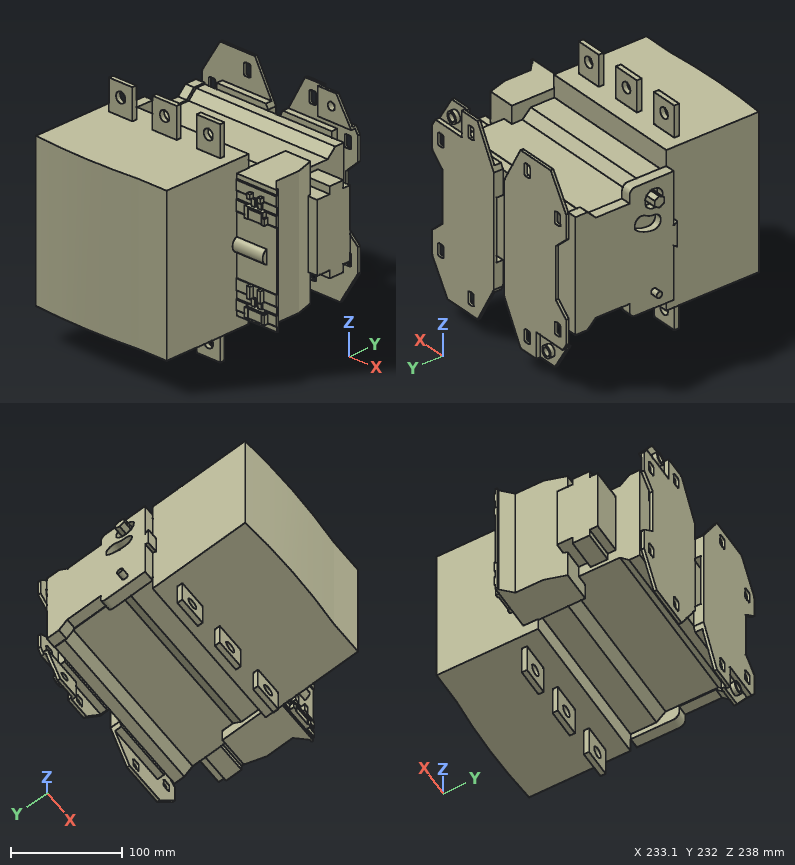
import cadquery as cq
import math


HOUSING_HALF_X = 82.0
HOUSING_HALF_Z = 85.0
HOUSING_BACK_Y = -123.0
HOUSING_EDGE_Y = -229.0
HOUSING_CROWN_Y = -232.0
CROWN_END_X = 47.0

POLE_PITCH = 55.0
TERMINAL_HALF_Z = 119.0
TERMINAL_FRONT_Y = -147.2
TERMINAL_THICKNESS = 5.5
OUTER_TERMINAL_WIDTH = 29.5
MIDDLE_TERMINAL_WIDTH = 30.5
TERMINAL_HOLE_Z = 103.8
TERMINAL_HOLE_DIAMETER = 11.5

BODY_RIGHT_X = 92.3
BODY_BACK_Y = -10.5
SLAB_HALF_Z = 62.5
SLAB_WAIST_HALF_Z = 53.1
CORE_INSET = 1.5
CORE_HALF_Z = SLAB_HALF_Z - CORE_INSET
CORE_WAIST_HALF_Z = SLAB_WAIST_HALF_Z - CORE_INSET
CORE_BEVEL_START_Y = -21.8
SLAB_BEVEL_START_Y = -24.3
BEVEL_LENGTH = 9.6
SHOULDER_START_Y = -86.4
OVERLAP = 1.0

SIDE_LEFT_X = -93.1
SIDE_BACK_Y = -72.4
SIDE_HALF_Z = 68.2
SIDE_CORNER_RADIUS = 6.5
TAB_FRONT_Y = -127.0
TAB_ROOT_HALF_Z = 10.7
TAB_TIP_HALF_Z = 13.6
RECESS_DEPTH = 8.0
PIVOT_Y = -100.2
PIVOT_Z = 48.1
PIVOT_RECESS_DIAMETER = 20.4
HEX_CORNER_DIAMETER = 12.3
STUD_LEFT_X = -101.0
PIN_Z = -50.3
PIN_DIAMETER = 6.5
SLOT_MEAN_RADIUS = 25.4
SLOT_WIDTH = 15.8
SLOT_SWEEP_DEG = 33.5

AUX_HALF_Z = 71.0
AUX_BACK_Y = -74.3
AUX_BACK_X = 112.2
AUX_SIDE_X = 118.6
AUX_SIDE_BACK_Y = -95.8
AUX_SIDE_FRONT_Y = -125.2
AUX_FLANGE_X = 132.1
AUX_FLANGE_BACK_Y = -136.2
AUX_FACE_Y = -138.3
AUX_FLARE_X = AUX_SIDE_X + AUX_SIDE_FRONT_Y - AUX_FLANGE_BACK_Y
BAND_RISE = 0.9
BAND_OUTER_Z = 65.8
BAND_GAP_OUTER_Z = 53.7
BAND_GAP_INNER_Z = 46.0
BAND_INNER_Z = 33.4
CLAMP_FRONT_Y = -143.7
CLAMP_CENTRE_X = 109.2
CLAMP_WIDTH = 24.7
CLAMP_INSERT_WIDTH = 17.0
CLAMP_MARGIN = 1.9
CLAMP_SHOULDER = 2.0
UPPER_SHOULDER_Z = 40.3
LOWER_SHOULDER_Z = -55.6
INSERT_DROP = 1.0
PAIR_CENTRE_X = CLAMP_CENTRE_X - 1.0
PEG_SPACING = 13.2
PEG_WIDTH = 4.1
SHORT_PEG_HEIGHT = 5.3
STRIP_SPACING = 8.6
STRIP_WIDTH = 4.5
STRIP_FRONT_Y = -140.2
SHAFT_DIAMETER = 16.4
SHAFT_END_X = 119.7
SHAFT_AXIS_Y = -135.7

COIL_END_X = 124.4
COIL_BACK_Y = -35.7
COIL_FRONT_Y = -78.2
COIL_RIDGE_BACK_Y = -44.2
COIL_RIDGE_FRONT_Y = -62.0
COIL_HALF_Z = 38.0
COIL_RIDGE_HALF_Z = 46.0

FOOT_THICKNESS = 3.1
FOOT_HALF_Z = 105.0
FOOT_LEFT_X = 12.5
FOOT_RIGHT_X = 102.6
FOOT_TOP_LEFT_X = 36.2
FOOT_TOP_RIGHT_X = 80.2
FOOT_LEFT_CORNER_Z = 62.0
FOOT_RIGHT_CORNER_Z = 69.0
NOTCH_OUTER_Z = 42.3
NOTCH_INNER_Z = 28.4
NOTCH_DEPTH = 15.0
FEET_CENTRE_X = 4.9
PAD_FRONT_Y = -8.0
PAD_WALL = 2.0
PAD_SHEET = 3.2
PAD_LEFT_X = 57.2
PAD_BOTTOM_Z = 74.7
PAD_HOLE_X = 73.9
PAD_HOLE_Z = 90.3
PAD_HOLE_DIAMETER = 8.6
PAD_BUSH_DIAMETER = 12.7
FOOT_SLOT_WIDTH = 8.3
FOOT_SLOT_HEIGHT = 13.5
FOOT_SLOT_RADIUS = 2.0
UPPER_SLOT_X = 45.9
UPPER_SLOT_Z = 87.9
LOWER_SLOT_X = 90.0
LOWER_SLOT_Z = 58.5
RAIL_RIGHT_X = 77.0
RAIL_OUTER_Z = 67.2
RAIL_INNER_Z = 34.4


def block(x_range, y_range, z_range):
    """Axis-aligned box spanning the three given (from, to) ranges."""
    spans = [sorted(r) for r in (x_range, y_range, z_range)]
    sizes = [high - low for low, high in spans]
    return cq.Workplane("XY").box(*sizes, centered=False).translate(tuple(low for low, high in spans))


def centred(middle, width):
    """(from, to) range of the given width around a middle value."""
    return (middle - width / 2, middle + width / 2)


def x_prism(points_yz, x_from, x_to):
    """Closed YZ outline extruded along X."""
    return cq.Workplane("YZ", origin=(x_from, 0, 0)).polyline(points_yz).close().extrude(x_to - x_from)


def y_cylinder(x, z, diameter, y_from, y_to):
    """Cylinder along Y from y_from forward to y_to."""
    return cq.Workplane("XZ", origin=(x, y_from, z)).circle(diameter / 2).extrude(y_from - y_to)


def x_cylinder(y, z, diameter, x_from, x_to):
    """Cylinder along X."""
    return cq.Workplane("YZ", origin=(x_from, y, z)).circle(diameter / 2).extrude(x_to - x_from)


def mirrored_outline(upper_half):
    """Close an upper YZ half outline with its mirror image about Z = 0."""
    return upper_half + [(y, -z) for y, z in reversed(upper_half)]


def housing():
    crown_middle_x = (CROWN_END_X - HOUSING_HALF_X) / 2
    outline = (
        cq.Workplane("XY", origin=(0, 0, -HOUSING_HALF_Z))
        .moveTo(-HOUSING_HALF_X, HOUSING_BACK_Y)
        .lineTo(-HOUSING_HALF_X, HOUSING_EDGE_Y)
        .threePointArc((crown_middle_x, HOUSING_CROWN_Y), (CROWN_END_X, HOUSING_EDGE_Y))
        .lineTo(HOUSING_HALF_X, HOUSING_EDGE_Y)
        .lineTo(HOUSING_HALF_X, HOUSING_BACK_Y)
        .close()
    )
    return outline.extrude(2 * HOUSING_HALF_Z)


def terminal(x, width):
    back_y = TERMINAL_FRONT_Y + TERMINAL_THICKNESS
    bar = block(centred(x, width), (TERMINAL_FRONT_Y, back_y), (-TERMINAL_HALF_Z, TERMINAL_HALF_Z))
    for z in (-TERMINAL_HOLE_Z, TERMINAL_HOLE_Z):
        bar = bar.cut(y_cylinder(x, z, TERMINAL_HOLE_DIAMETER, back_y, TERMINAL_FRONT_Y))
    return bar


def body():
    core = mirrored_outline([
        (BODY_BACK_Y, CORE_HALF_Z),
        (CORE_BEVEL_START_Y, CORE_HALF_Z),
        (CORE_BEVEL_START_Y - BEVEL_LENGTH, CORE_WAIST_HALF_Z),
        (SHOULDER_START_Y, CORE_WAIST_HALF_Z),
        (SHOULDER_START_Y - BEVEL_LENGTH, CORE_HALF_Z),
        (HOUSING_BACK_Y - OVERLAP, CORE_HALF_Z),
    ])
    slab = mirrored_outline([
        (BODY_BACK_Y, SLAB_HALF_Z),
        (SLAB_BEVEL_START_Y, SLAB_HALF_Z),
        (SLAB_BEVEL_START_Y - BEVEL_LENGTH, SLAB_WAIST_HALF_Z),
        (SIDE_BACK_Y - OVERLAP, SLAB_WAIST_HALF_Z),
    ])
    core_solid = x_prism(core, -HOUSING_HALF_X, BODY_RIGHT_X)
    return core_solid.union(x_prism(slab, SIDE_LEFT_X, -HOUSING_HALF_X))


def curved_slot():
    """Arc slot below the pivot, concentric with it, cut from the outer face."""
    def at(radius, angle_deg):
        angle = math.radians(angle_deg)
        return (PIVOT_Y + radius * math.sin(angle), PIVOT_Z - radius * math.cos(angle))

    outer = SLOT_MEAN_RADIUS + SLOT_WIDTH / 2
    inner = SLOT_MEAN_RADIUS - SLOT_WIDTH / 2
    middle = SLOT_SWEEP_DEG / 2
    cap_angle = math.degrees(SLOT_WIDTH / 2 / SLOT_MEAN_RADIUS)
    return (
        cq.Workplane("YZ", origin=(SIDE_LEFT_X, 0, 0))
        .moveTo(*at(outer, 0))
        .threePointArc(at(outer, middle), at(outer, SLOT_SWEEP_DEG))
        .threePointArc(at(SLOT_MEAN_RADIUS, SLOT_SWEEP_DEG + cap_angle), at(inner, SLOT_SWEEP_DEG))
        .threePointArc(at(inner, middle), at(inner, 0))
        .threePointArc(at(SLOT_MEAN_RADIUS, -cap_angle), at(outer, 0))
        .close()
        .extrude(RECESS_DEPTH)
    )


def side_plate():
    plate = block(
        (SIDE_LEFT_X, -HOUSING_HALF_X), (SIDE_BACK_Y, HOUSING_BACK_Y), (-SIDE_HALF_Z, SIDE_HALF_Z)
    )
    plate = plate.edges("|X and >Y").fillet(SIDE_CORNER_RADIUS)
    tab = mirrored_outline([(HOUSING_BACK_Y, TAB_ROOT_HALF_Z), (TAB_FRONT_Y, TAB_TIP_HALF_Z)])
    plate = plate.union(x_prism(tab, SIDE_LEFT_X, -HOUSING_HALF_X))

    floor_x = SIDE_LEFT_X + RECESS_DEPTH
    plate = plate.cut(x_cylinder(PIVOT_Y, PIVOT_Z, PIVOT_RECESS_DIAMETER, SIDE_LEFT_X, floor_x))
    plate = plate.cut(curved_slot())
    hexagon = (
        cq.Workplane("YZ", origin=(STUD_LEFT_X, PIVOT_Y, PIVOT_Z))
        .transformed(rotate=(0, 0, 90))
        .polygon(6, HEX_CORNER_DIAMETER)
        .extrude(floor_x + OVERLAP - STUD_LEFT_X)
    )
    pin = x_cylinder(PIVOT_Y, PIN_Z, PIN_DIAMETER, STUD_LEFT_X, SIDE_LEFT_X + OVERLAP)
    return plate.union(hexagon).union(pin)


def raised_band(z_low, z_high, slope_low, slope_high):
    """Low band across the contact block face; each Z edge is sloped or square."""
    crest_y = AUX_FACE_Y - BAND_RISE
    outline = [
        (AUX_FACE_Y + OVERLAP, z_low),
        (AUX_FACE_Y, z_low),
        (crest_y, z_low + slope_low),
        (crest_y, z_high - slope_high),
        (AUX_FACE_Y, z_high),
        (AUX_FACE_Y + OVERLAP, z_high),
    ]
    return x_prism(outline, HOUSING_HALF_X, AUX_FLANGE_X)


def contact_clamp(z_low, z_shoulder, z_high, left_shoulder):
    """Shouldered frame open at the bottom; the middle of it is slightly sunken."""
    y_range = (AUX_FACE_Y, CLAMP_FRONT_Y)
    left_x, right_x = centred(CLAMP_CENTRE_X, CLAMP_WIDTH)
    lower_part = block((left_x, right_x), y_range, (z_low, z_shoulder))
    neck = block((left_x + left_shoulder, right_x - CLAMP_SHOULDER), y_range, (z_shoulder, z_high))
    sunken = block(
        centred(CLAMP_CENTRE_X, CLAMP_INSERT_WIDTH),
        (CLAMP_FRONT_Y, CLAMP_FRONT_Y + INSERT_DROP),
        (z_low, z_high - CLAMP_MARGIN),
    )
    return lower_part.union(neck).cut(sunken)


def spaced_pair(spacing, width, front_y, z_range):
    """Two equal bars either side of PAIR_CENTRE_X."""
    left = block(centred(PAIR_CENTRE_X - spacing / 2, width), (AUX_FACE_Y, front_y), z_range)
    return left.union(left.translate((spacing, 0, 0)))


def auxiliary_block():
    outline = [
        (HOUSING_HALF_X - OVERLAP, AUX_BACK_Y),
        (AUX_BACK_X, AUX_BACK_Y),
        (AUX_SIDE_X, AUX_SIDE_BACK_Y),
        (AUX_SIDE_X, AUX_SIDE_FRONT_Y),
        (AUX_FLARE_X, AUX_FLANGE_BACK_Y),
        (AUX_FLANGE_X, AUX_FLANGE_BACK_Y),
        (AUX_FLANGE_X, AUX_FACE_Y),
        (HOUSING_HALF_X - OVERLAP, AUX_FACE_Y),
    ]
    part = (
        cq.Workplane("XY", origin=(0, 0, -AUX_HALF_Z)).polyline(outline).close().extrude(2 * AUX_HALF_Z)
    )
    part = part.union(raised_band(BAND_GAP_OUTER_Z, BAND_OUTER_Z, BAND_RISE, BAND_RISE))
    part = part.union(raised_band(BAND_INNER_Z, BAND_GAP_INNER_Z, 0, BAND_RISE))
    part = part.union(raised_band(-BAND_GAP_INNER_Z, -BAND_INNER_Z, BAND_RISE, 0))
    part = part.union(raised_band(-BAND_OUTER_Z, -BAND_GAP_OUTER_Z, BAND_RISE, BAND_RISE))

    short_pegs = (BAND_GAP_OUTER_Z, BAND_GAP_OUTER_Z + SHORT_PEG_HEIGHT)
    long_pegs = (-BAND_GAP_INNER_Z, -BAND_INNER_Z)
    for z_range in (short_pegs, long_pegs):
        part = part.union(spaced_pair(PEG_SPACING, PEG_WIDTH, CLAMP_FRONT_Y, z_range))
    for z_range in ((BAND_GAP_INNER_Z, BAND_GAP_OUTER_Z), (-BAND_GAP_OUTER_Z, -BAND_GAP_INNER_Z)):
        part = part.union(spaced_pair(STRIP_SPACING, STRIP_WIDTH, STRIP_FRONT_Y, z_range))
    part = part.union(contact_clamp(BAND_INNER_Z, UPPER_SHOULDER_Z, BAND_GAP_INNER_Z, 0))
    lower_clamp = contact_clamp(-BAND_OUTER_Z, LOWER_SHOULDER_Z, -BAND_GAP_OUTER_Z, CLAMP_SHOULDER)
    part = part.union(lower_clamp)
    shaft = x_cylinder(SHAFT_AXIS_Y, 0, SHAFT_DIAMETER, HOUSING_HALF_X - OVERLAP, SHAFT_END_X)
    return part.union(shaft)


def coil_end():
    x_range = (BODY_RIGHT_X - OVERLAP, COIL_END_X)
    base = block(x_range, (COIL_BACK_Y, COIL_FRONT_Y), (-COIL_HALF_Z, COIL_HALF_Z))
    ridge = block(
        x_range, (COIL_RIDGE_BACK_Y, COIL_RIDGE_FRONT_Y), (-COIL_RIDGE_HALF_Z, COIL_RIDGE_HALF_Z)
    )
    return base.union(ridge)


def foot_outline(front_y):
    """Foot silhouette, extruded from the mounting plane forward to front_y."""
    points = [
        (FOOT_TOP_LEFT_X, FOOT_HALF_Z),
        (FOOT_TOP_RIGHT_X, FOOT_HALF_Z),
        (FOOT_RIGHT_X, FOOT_RIGHT_CORNER_Z),
        (FOOT_RIGHT_X, NOTCH_OUTER_Z),
        (FOOT_RIGHT_X - NOTCH_DEPTH, NOTCH_INNER_Z),
        (FOOT_RIGHT_X - NOTCH_DEPTH, -NOTCH_INNER_Z),
        (FOOT_RIGHT_X, -NOTCH_OUTER_Z),
        (FOOT_RIGHT_X, -FOOT_RIGHT_CORNER_Z),
        (FOOT_TOP_RIGHT_X, -FOOT_HALF_Z),
        (FOOT_TOP_LEFT_X, -FOOT_HALF_Z),
        (FOOT_LEFT_X, -FOOT_LEFT_CORNER_Z),
        (FOOT_LEFT_X, FOOT_LEFT_CORNER_Z),
    ]
    return cq.Workplane("XZ").polyline(points).close().extrude(-front_y)


def earthing_pad():
    """Embossed corner of the foot: raised sheet, two walls and a bored bush."""
    corner = (PAD_BOTTOM_Z, FOOT_HALF_Z)
    solid = foot_outline(PAD_FRONT_Y).intersect(
        block((PAD_LEFT_X, FOOT_RIGHT_X), (0, PAD_FRONT_Y), corner)
    )
    sheet_back_y = PAD_FRONT_Y + PAD_SHEET
    hollow = block(
        (PAD_LEFT_X + PAD_WALL, FOOT_RIGHT_X),
        (0, sheet_back_y),
        (PAD_BOTTOM_Z + PAD_WALL, FOOT_HALF_Z),
    )
    bush = y_cylinder(PAD_HOLE_X, PAD_HOLE_Z, PAD_BUSH_DIAMETER, 0, sheet_back_y)
    bore = y_cylinder(PAD_HOLE_X, PAD_HOLE_Z, PAD_HOLE_DIAMETER, 0, PAD_FRONT_Y)
    return solid.cut(hollow).union(bush).cut(bore)


def foot_slot(x, z):
    slot = block(centred(x, FOOT_SLOT_WIDTH), (0, -FOOT_THICKNESS), centred(z, FOOT_SLOT_HEIGHT))
    return slot.edges("|Y").fillet(FOOT_SLOT_RADIUS)


def mounting_foot():
    """Right-hand foot with its pad, slots and the two rails that carry it."""
    foot = foot_outline(-FOOT_THICKNESS)
    foot = foot.cut(
        block((PAD_LEFT_X, FOOT_RIGHT_X), (0, -FOOT_THICKNESS), (PAD_BOTTOM_Z, FOOT_HALF_Z))
    )
    foot = foot.union(earthing_pad())
    slots = (
        (UPPER_SLOT_X, UPPER_SLOT_Z),
        (UPPER_SLOT_X, -UPPER_SLOT_Z),
        (LOWER_SLOT_X, LOWER_SLOT_Z),
        (LOWER_SLOT_X, -LOWER_SLOT_Z),
    )
    for x, z in slots:
        foot = foot.cut(foot_slot(x, z))
    rail_outline = foot_outline(BODY_BACK_Y)
    for side in (-1, 1):
        rail = block(
            (FOOT_LEFT_X, RAIL_RIGHT_X),
            (-FOOT_THICKNESS, BODY_BACK_Y),
            (side * RAIL_INNER_Z, side * RAIL_OUTER_Z),
        )
        foot = foot.union(rail.intersect(rail_outline))
    return foot


def contactor():
    part = body().union(side_plate()).union(housing()).union(coil_end()).union(auxiliary_block())
    for x, width in (
        (-POLE_PITCH, OUTER_TERMINAL_WIDTH),
        (0, MIDDLE_TERMINAL_WIDTH),
        (POLE_PITCH, OUTER_TERMINAL_WIDTH),
    ):
        part = part.union(terminal(x, width))
    right_foot = mounting_foot()
    left_foot = right_foot.rotate((FEET_CENTRE_X, 0, 0), (FEET_CENTRE_X, 1, 0), 180)
    return part.union(right_foot).union(left_foot)


result = contactor()